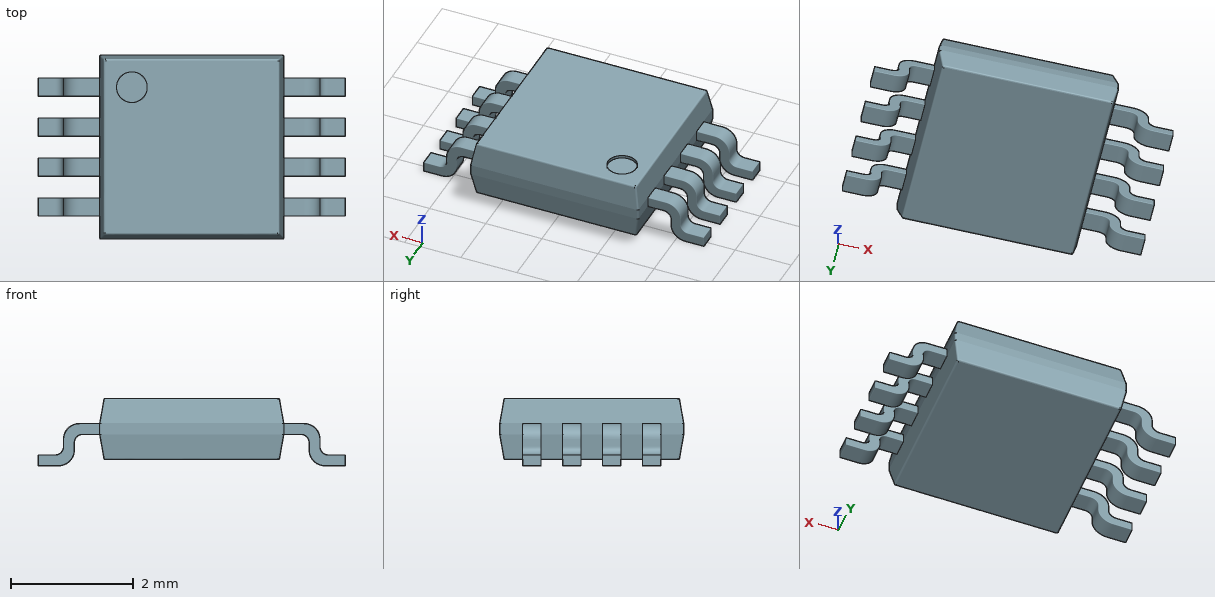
import cadquery as cq
import math

SPAN = 5.0
BODY_WIDTH = 3.0
STANDOFF = 0.1
BODY_TOP = 1.1

DRAFT_ANGLE = 10.0
EDGE_RADIUS = 0.03

LEADS_PER_SIDE = 4
LEAD_PITCH = 0.65
LEAD_WIDTH = 0.3
LEAD_THICKNESS = 0.18
FOOT_LENGTH = 0.28
INNER_BEND_RADIUS = 0.13
OUTER_BEND_RADIUS = 0.26
LEAD_EDGE_RADIUS = 0.01
LEAD_OVERLAP = 0.1

MARK_DIAMETER = 0.5
MARK_DEPTH = 0.05
MARK_OFFSET = 0.975

MID_HEIGHT = (BODY_TOP + STANDOFF) / 2
LEAD_TOP = MID_HEIGHT + LEAD_THICKNESS / 2
LEAD_BOTTOM = MID_HEIGHT - LEAD_THICKNESS / 2


def tapered_half(start_height, height):
    """Square half body that narrows away from start_height; a negative height goes down."""
    end_width = BODY_WIDTH - 2 * abs(height) * math.tan(math.radians(DRAFT_ANGLE))
    return (
        cq.Workplane("XY", origin=(0, 0, start_height))
        .rect(BODY_WIDTH, BODY_WIDTH)
        .workplane(offset=height)
        .rect(end_width, end_width)
        .loft(ruled=True)
    )


def make_body():
    """Straight band at mid height with a drafted half above and below, all outer edges rounded."""
    band = (
        cq.Workplane("XY", origin=(0, 0, LEAD_BOTTOM))
        .rect(BODY_WIDTH, BODY_WIDTH)
        .extrude(LEAD_THICKNESS)
    )
    upper = tapered_half(LEAD_TOP, BODY_TOP - LEAD_TOP)
    lower = tapered_half(LEAD_BOTTOM, STANDOFF - LEAD_BOTTOM)
    body = band.union(upper).union(lower)
    rounded_corners = body.edges("not #Z").fillet(EDGE_RADIUS)
    return rounded_corners.faces("<Z or >Z").edges().fillet(EDGE_RADIUS)


def make_left_lead():
    """Gull-wing lead on the -X side, centred on Y = 0."""
    tip = -SPAN / 2
    inner_end = -BODY_WIDTH / 2 + LEAD_OVERLAP
    riser_left = tip + FOOT_LENGTH + INNER_BEND_RADIUS
    riser_right = riser_left + LEAD_THICKNESS
    lead = (
        cq.Workplane("XZ", origin=(0, LEAD_WIDTH / 2, 0))
        .moveTo(tip, 0)
        .lineTo(riser_right - OUTER_BEND_RADIUS, 0)
        .radiusArc((riser_right, OUTER_BEND_RADIUS), -OUTER_BEND_RADIUS)
        .lineTo(riser_right, LEAD_BOTTOM - INNER_BEND_RADIUS)
        .radiusArc((riser_right + INNER_BEND_RADIUS, LEAD_BOTTOM), INNER_BEND_RADIUS)
        .lineTo(inner_end, LEAD_BOTTOM)
        .lineTo(inner_end, LEAD_TOP)
        .lineTo(riser_left + OUTER_BEND_RADIUS, LEAD_TOP)
        .radiusArc((riser_left, LEAD_TOP - OUTER_BEND_RADIUS), -OUTER_BEND_RADIUS)
        .lineTo(riser_left, LEAD_THICKNESS + INNER_BEND_RADIUS)
        .radiusArc((tip + FOOT_LENGTH, LEAD_THICKNESS), INNER_BEND_RADIUS)
        .lineTo(tip, LEAD_THICKNESS)
        .close()
        .extrude(LEAD_WIDTH)
    )
    return lead.faces("<Y or >Y or <X").edges().fillet(LEAD_EDGE_RADIUS)


def add_leads(part):
    left_lead = make_left_lead()
    right_lead = left_lead.mirror("YZ")
    for index in range(LEADS_PER_SIDE):
        y = (index - (LEADS_PER_SIDE - 1) / 2) * LEAD_PITCH
        for lead in (left_lead, right_lead):
            part = part.union(lead.translate((0, y, 0)))
    return part


def make_pin_mark():
    """Shallow round recess in the top face near pin 1."""
    return (
        cq.Workplane("XY", origin=(-MARK_OFFSET, MARK_OFFSET, BODY_TOP - MARK_DEPTH))
        .circle(MARK_DIAMETER / 2)
        .extrude(MARK_DEPTH)
    )


result = add_leads(make_body()).cut(make_pin_mark())